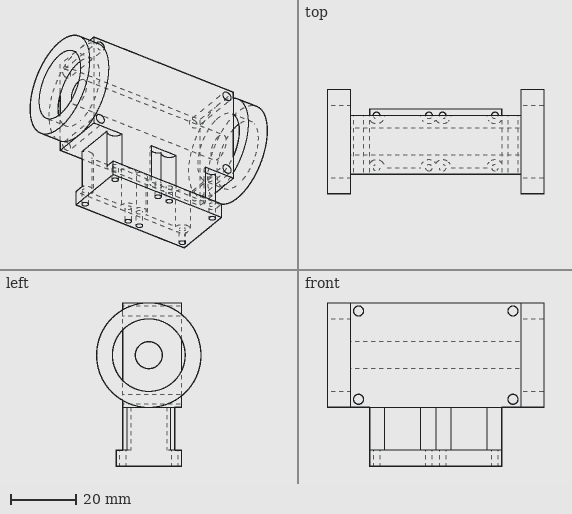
import cadquery as cq


block_length = 52.0
block_height = 32.0
block_front_y = -10.0
block_back_y = 8.0
bore_diameter = 8.2

cross_hole_diameter = 3.0
cross_hole_x = 23.6
cross_hole_z = 13.5

ring_outer_diameter = block_height
ring_inner_diameter = 22.2
overall_length = 66.2
ring_thickness = (overall_length - block_length) / 2

overall_height = 50.0
foot_length = 40.4
foot_width = 20.0
foot_thickness = 5.0
neck_width = 16.0
block_bottom_z = -block_height / 2
foot_bottom_z = block_height / 2 - overall_height
neck_height = overall_height - block_height - foot_thickness

screw_hole_diameter = 2.0
screw_groove_diameter = 5.0
screw_pair_offset = 2.1
outer_screw_x = foot_length / 2 - screw_pair_offset
inner_screw_x = screw_pair_offset
screw_y = neck_width / 2
screw_points = [
    (side_x * x, side_y * screw_y)
    for x in (outer_screw_x, inner_screw_x)
    for side_x in (-1, 1)
    for side_y in (-1, 1)
]


def make_block():
    """Rectangular block, offset towards -Y, with four cross holes along Y."""
    width = block_back_y - block_front_y
    block = cq.Workplane("XY").box(block_length, width, block_height)
    block = (
        block.faces("<Y").workplane(centerOption="CenterOfBoundBox")
        .rect(2 * cross_hole_x, 2 * cross_hole_z, forConstruction=True)
        .vertices()
        .hole(cross_hole_diameter)
    )
    return block.translate((0, (block_front_y + block_back_y) / 2, 0))


def make_ring(start_x):
    """Ring around the bore axis, extending in +X from start_x."""
    return (
        cq.Workplane("YZ", origin=(start_x, 0, 0))
        .circle(ring_outer_diameter / 2)
        .circle(ring_inner_diameter / 2)
        .extrude(ring_thickness)
    )


def make_foot():
    """Flat foot plate with eight through screw holes."""
    return (
        cq.Workplane("XY", origin=(0, 0, foot_bottom_z))
        .rect(foot_length, foot_width)
        .extrude(foot_thickness)
        .faces(">Z").workplane(centerOption="CenterOfBoundBox")
        .pushPoints(screw_points)
        .hole(screw_hole_diameter)
    )


def make_neck():
    """Neck with a vertical clearance groove above every screw hole."""
    base = cq.Workplane("XY", origin=(0, 0, block_bottom_z - neck_height))
    neck = base.rect(foot_length, neck_width).extrude(neck_height)
    for x, y in screw_points:
        groove = base.center(x, y).circle(screw_groove_diameter / 2).extrude(neck_height)
        neck = neck.cut(groove)
    return neck


bore = cq.Workplane("YZ").circle(bore_diameter / 2).extrude(block_length / 2, both=True)

result = (
    make_block()
    .cut(bore)
    .union(make_ring(-overall_length / 2))
    .union(make_ring(block_length / 2))
    .union(make_neck())
    .union(make_foot())
)